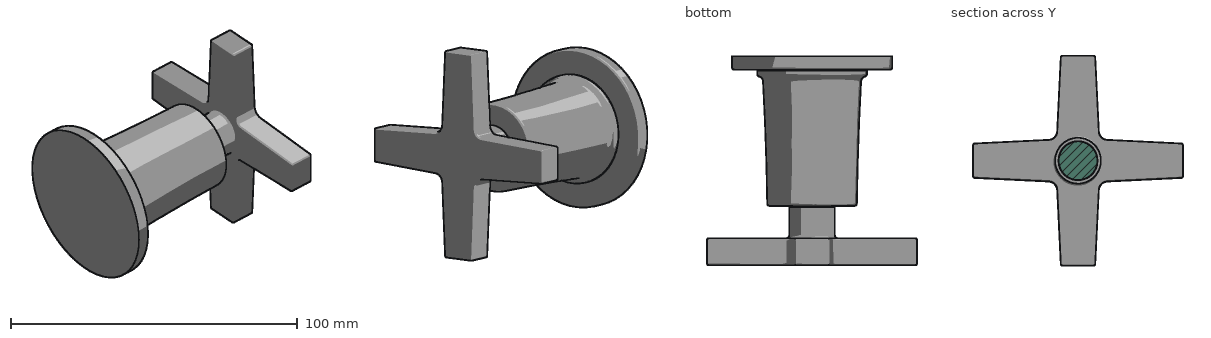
import cadquery as cq
import math


SPAN = 73.3
HEIGHT = 72.9
CROSS_THICKNESS = 9.45
ARM_TIP_WIDTH = 12.0
ARM_TAPER_DEG = 2.8
INNER_CORNER_RADIUS = 3.0
CROSS_EDGE_RADIUS = 0.7

PLATE_RADIUS = 28.0
PLATE_THICKNESS = 4.8
PLATE_EDGE_RADIUS = 0.9

COLLAR_RADIUS = 19.2
COLLAR_TOP = 7.2
COLLAR_EDGE_RADIUS = 1.0
COLLAR_FOOT_CHAMFER = 0.3

BODY_BASE_RADIUS = 17.15
BODY_TOP_RADIUS = 15.7
BODY_TOP = 52.25
BODY_HOLLOW = 0.2
BODY_EDGE_RADIUS = 0.9
COVE_RADIUS = 1.75

NECK_RADIUS = 8.0
NECK_START = 52.6
NECK_FILLET = 1.0
SPINDLE_RADIUS = 6.8

CROSS_BACK = HEIGHT - CROSS_THICKNESS
DIAGONAL = math.sqrt(0.5)


def fillet_midpoint(corner_r, corner_y, radius, sign_r, sign_y):
    """Middle of a quarter arc whose centre lies `radius` from a square corner along each sign."""
    inset = radius * (1 - DIAGONAL)
    return (corner_r + sign_r * inset, corner_y + sign_y * inset)


def stem():
    """Everything below the handle, revolved about Y from a half profile of (radius, y) points."""
    collar_shoulder = COLLAR_TOP - COLLAR_EDGE_RADIUS
    cove_r = BODY_BASE_RADIUS + COVE_RADIUS
    round_r = COLLAR_RADIUS - COLLAR_EDGE_RADIUS
    reach = COVE_RADIUS + COLLAR_EDGE_RADIUS
    lean = math.acos((cove_r - round_r) / reach)
    cove_y = collar_shoulder + reach * math.sin(lean)

    def on_round(angle):
        return (
            round_r + COLLAR_EDGE_RADIUS * math.cos(angle),
            collar_shoulder + COLLAR_EDGE_RADIUS * math.sin(angle),
        )

    def on_cove(angle):
        return (
            cove_r - COVE_RADIUS * math.cos(angle),
            cove_y - COVE_RADIUS * math.sin(angle),
        )

    body_shoulder = BODY_TOP - BODY_EDGE_RADIUS
    body_middle = (
        (BODY_BASE_RADIUS + BODY_TOP_RADIUS) / 2 - BODY_HOLLOW,
        (cove_y + body_shoulder) / 2,
    )
    profile = (
        cq.Workplane("XY")
        .lineTo(PLATE_RADIUS, 0)
        .lineTo(PLATE_RADIUS, PLATE_THICKNESS - PLATE_EDGE_RADIUS)
        .threePointArc(
            fillet_midpoint(PLATE_RADIUS, PLATE_THICKNESS, PLATE_EDGE_RADIUS, -1, -1),
            (PLATE_RADIUS - PLATE_EDGE_RADIUS, PLATE_THICKNESS),
        )
        .lineTo(COLLAR_RADIUS - COLLAR_FOOT_CHAMFER, PLATE_THICKNESS)
        .lineTo(COLLAR_RADIUS, PLATE_THICKNESS + COLLAR_FOOT_CHAMFER)
        .lineTo(COLLAR_RADIUS, collar_shoulder)
        .threePointArc(on_round(lean / 2), on_round(lean))
        .threePointArc(on_cove(lean / 2), on_cove(0))
        .threePointArc(body_middle, (BODY_TOP_RADIUS, body_shoulder))
        .threePointArc(
            fillet_midpoint(BODY_TOP_RADIUS, BODY_TOP, BODY_EDGE_RADIUS, -1, -1),
            (BODY_TOP_RADIUS - BODY_EDGE_RADIUS, BODY_TOP),
        )
        .lineTo(SPINDLE_RADIUS, BODY_TOP)
        .lineTo(SPINDLE_RADIUS, NECK_START)
        .lineTo(NECK_RADIUS, NECK_START)
        .lineTo(NECK_RADIUS, CROSS_BACK - NECK_FILLET)
        .threePointArc(
            fillet_midpoint(NECK_RADIUS, CROSS_BACK, NECK_FILLET, 1, -1),
            (NECK_RADIUS + NECK_FILLET, CROSS_BACK),
        )
        .lineTo(0, CROSS_BACK)
        .close()
    )
    return profile.revolve(360, (0, 0, 0), (0, 1, 0))


def cross_handle():
    """Four tapered arms with rounded inner corners and softened edges all round."""
    tip = SPAN / 2
    half_tip = ARM_TIP_WIDTH / 2
    slope = math.tan(math.radians(ARM_TAPER_DEG))
    inner = (half_tip + slope * tip) / (1 + slope)

    outline = []
    for quarter in range(4):
        turn = math.radians(90 * quarter)
        for along, across in ((tip, -half_tip), (tip, half_tip), (inner, inner)):
            outline.append((
                along * math.cos(turn) - across * math.sin(turn),
                along * math.sin(turn) + across * math.cos(turn),
            ))
    blank = (
        cq.Workplane("XZ", origin=(0, HEIGHT, 0))
        .polyline(outline)
        .close()
        .extrude(CROSS_THICKNESS)
    )
    corner_zone = cq.selectors.BoxSelector(
        (-tip / 2, 0, -tip / 2), (tip / 2, HEIGHT, tip / 2)
    )
    rounded = blank.edges("|Y").edges(corner_zone).fillet(INNER_CORNER_RADIUS)
    return rounded.faces("<X or >X or <Z or >Z or <Y or >Y").edges().fillet(CROSS_EDGE_RADIUS)


result = stem().union(cross_handle())